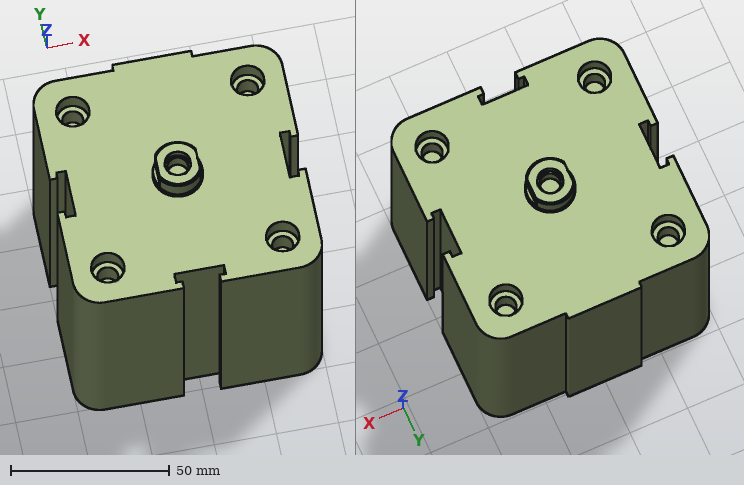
import cadquery as cq

WIDTH = 80.0
TOTAL_HEIGHT = 82.5
ROD_HEIGHT = 7.5
HOUSING_HEIGHT = TOTAL_HEIGHT - ROD_HEIGHT
CORNER_RADIUS = 8.5

PAD_WIDTH = 25.5
PAD_HEIGHT = 2.0
PAD_EDGE_RADIUS = 0.3

SLOT_MOUTH = 12.0
SLOT_WIDTH = 16.0
LIP_DEPTH = 2.5
SLOT_DEPTH = 5.5
SLOT_ANGLES = (0, 90, -90)

HOLE_SPACING = 56.35
HOLE_BORE = 6.7
HOLE_COUNTERBORE = 10.5
COUNTERBORE_DEPTH = 6.35
HOLE_DEPTH = 14.0

COLLAR_DIAMETER = 16.0
COLLAR_HEIGHT = 1.15
ROD_DIAMETER = 15.6
COLLAR_CHAMFER_HEIGHT = 0.4
COLLAR_CHAMFER_INSET = (COLLAR_DIAMETER - ROD_DIAMETER) / 2
ROD_TIP_CHAMFER = 0.5
FLAT_WIDTH = 13.0
FLAT_LENGTH = 5.6
ROD_BORE = 6.7
ROD_COUNTERBORE = 8.25
ROD_COUNTERBORE_DEPTH = 2.55


def make_pad():
    """Pad reaching from the housing axis to beyond the +Y side, along the full height."""
    return (
        cq.Workplane("XY")
        .box(PAD_WIDTH, WIDTH / 2 + PAD_HEIGHT, HOUSING_HEIGHT, centered=(True, False, False))
        .edges("|Z and >Y")
        .fillet(PAD_EDGE_RADIUS)
    )


def make_slot(angle):
    """T-slot along the full height of the -Y side, turned about Z."""
    outer_face = -WIDTH / 2
    mouth = (
        cq.Workplane("XY", origin=(0, outer_face, 0))
        .box(SLOT_MOUTH, SLOT_DEPTH, HOUSING_HEIGHT, centered=(True, False, False))
    )
    undercut = (
        cq.Workplane("XY", origin=(0, outer_face + LIP_DEPTH, 0))
        .box(SLOT_WIDTH, SLOT_DEPTH - LIP_DEPTH, HOUSING_HEIGHT, centered=(True, False, False))
    )
    return mouth.union(undercut).rotate((0, 0, 0), (0, 0, 1), angle)


def make_housing():
    """Block with the pad, three T-slots and four blind counterbored holes in its top."""
    block = (
        cq.Workplane("XY")
        .box(WIDTH, WIDTH, HOUSING_HEIGHT, centered=(True, True, False))
        .edges("|Z")
        .fillet(CORNER_RADIUS)
        .union(make_pad())
    )
    for angle in SLOT_ANGLES:
        block = block.cut(make_slot(angle))
    return (
        block.faces(">Z")
        .workplane(origin=(0, 0, HOUSING_HEIGHT))
        .rect(HOLE_SPACING, HOLE_SPACING, forConstruction=True)
        .vertices()
        .cboreHole(HOLE_BORE, HOLE_COUNTERBORE, COUNTERBORE_DEPTH, HOLE_DEPTH)
    )


def make_rod():
    """Rod end standing on the housing, with a base collar and two wrench flats facing -X and +X."""
    collar = (
        cq.Workplane("XY", origin=(0, 0, HOUSING_HEIGHT))
        .circle(COLLAR_DIAMETER / 2)
        .extrude(COLLAR_HEIGHT)
        .faces(">Z")
        .chamfer(COLLAR_CHAMFER_HEIGHT, COLLAR_CHAMFER_INSET)
    )
    shank = (
        cq.Workplane("XY", origin=(0, 0, HOUSING_HEIGHT))
        .circle(ROD_DIAMETER / 2)
        .extrude(ROD_HEIGHT)
        .faces(">Z")
        .chamfer(ROD_TIP_CHAMFER)
    )
    flats = (
        cq.Workplane("XY", origin=(0, 0, TOTAL_HEIGHT - FLAT_LENGTH))
        .rect(2 * ROD_DIAMETER, 2 * ROD_DIAMETER)
        .rect(FLAT_WIDTH, 2 * ROD_DIAMETER)
        .extrude(FLAT_LENGTH)
    )
    return (
        collar.union(shank)
        .cut(flats)
        .faces(">Z")
        .workplane(origin=(0, 0, TOTAL_HEIGHT))
        .cboreHole(ROD_BORE, ROD_COUNTERBORE, ROD_COUNTERBORE_DEPTH)
    )


housing = make_housing()
rod = make_rod()

result = cq.Compound.makeCompound([housing.val(), rod.val()])